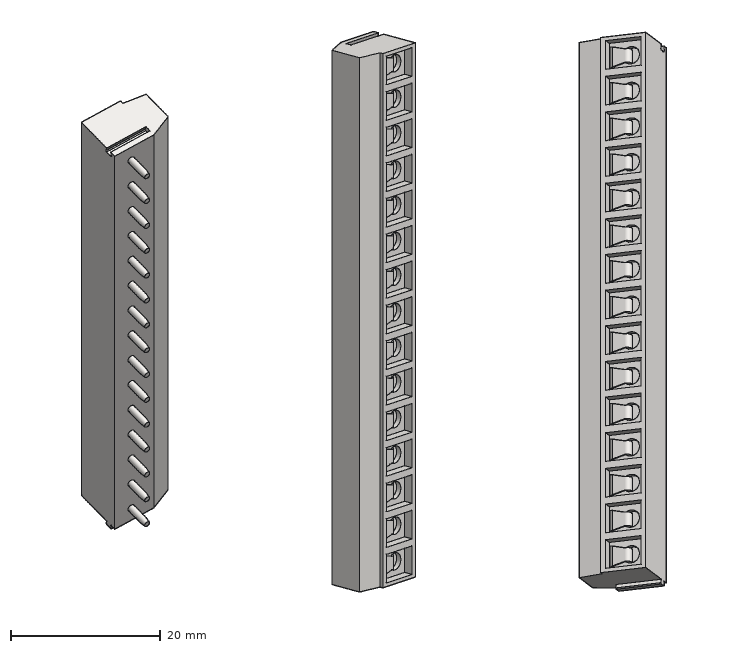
import cadquery as cq

POLE_COUNT = 15
POLE_PITCH = 5.0
BODY_WIDTH = 7.6
BODY_DEPTH = 10.0
TOTAL_HEIGHT = 75.7
RIB_HEIGHT = 0.7
BODY_HEIGHT = TOTAL_HEIGHT - RIB_HEIGHT

SHOULDER_Y = 6.5
SHOULDER_STEP = 0.5
ROOF_START_X = 1.05
ROOF_END_X = 6.05

COUPLING_X = 6.2
COUPLING_LENGTH = SHOULDER_Y
NECK_WIDTH = 0.9
FLARE_WIDTH = 1.3
TIP_WIDTH = 1.0
FLARE_HEIGHT = 0.5
GROOVE_CLEARANCE = 0.15

POCKET_START_Y = 0.7
POCKET_END_Y = 5.75
POCKET_HEIGHT = 4.0
POCKET_DEPTH = 1.4

PLATE_THICKNESS = 0.2
PLATE_END_Y = 5.7
PLATE_WIDE = 3.0
PLATE_NARROW = 1.9
PLATE_BEVEL = 0.45
BEND_START_Y = 3.4
BEND_RADIUS = 0.7
HOLE_RADIUS = 1.2
HOLE_CENTER_Y = 2.65
HOLE_DEPTH = 0.75

PIN_Y = 2.7
PIN_DIAMETER = 1.05
PIN_SHANK_LENGTH = 2.7
PIN_TIP_LENGTH = 0.9
PIN_TIP_DIAMETER = 0.8

FLOOR_X = POCKET_DEPTH
HOLE_FLOOR_X = FLOOR_X + HOLE_DEPTH


def make_body():
    """Housing profile in the XY plane, extruded along Z."""
    return (
        cq.Workplane("XY")
        .workplane(offset=RIB_HEIGHT)
        .polyline([
            (0, 0),
            (BODY_WIDTH, 0),
            (BODY_WIDTH, SHOULDER_Y),
            (ROOF_END_X, BODY_DEPTH),
            (ROOF_START_X, BODY_DEPTH),
            (SHOULDER_STEP, SHOULDER_Y),
            (0, SHOULDER_Y),
        ])
        .close()
        .extrude(BODY_HEIGHT)
    )


def make_dovetail(face_z, clearance=0):
    """Dovetail bar hanging below face_z, running from the Y = 0 side."""
    levels = [
        (NECK_WIDTH, 0),
        (FLARE_WIDTH, FLARE_HEIGHT + clearance),
        (TIP_WIDTH, RIB_HEIGHT + clearance),
    ]
    right_side = [(COUPLING_X + width / 2, face_z - depth) for width, depth in levels]
    left_side = [(COUPLING_X - width / 2, face_z - depth) for width, depth in reversed(levels)]
    return (
        cq.Workplane("XZ")
        .polyline(right_side + left_side)
        .close()
        .extrude(-COUPLING_LENGTH)
    )


def make_pocket():
    """Rectangular wire-entry pocket with a round hole in its floor, centred on Z = 0."""
    recess = cq.Workplane("XY").box(
        POCKET_DEPTH, POCKET_END_Y - POCKET_START_Y, POCKET_HEIGHT, centered=(False, False, True)
    ).translate((0, POCKET_START_Y, 0))
    hole = (
        cq.Workplane("YZ")
        .center(HOLE_CENTER_Y, 0)
        .circle(HOLE_RADIUS)
        .extrude(HOLE_FLOOR_X)
    )
    return recess.union(hole)


def make_clamp_plate():
    """Tapered plate, bevelled near the pocket wall and rounded over into the hole, centred on Z = 0."""
    top_x = FLOOR_X - PLATE_THICKNESS
    bend_end_y = BEND_START_Y - BEND_RADIUS
    side_profile = (
        cq.Workplane("XY")
        .moveTo(HOLE_FLOOR_X, PLATE_END_Y)
        .lineTo(FLOOR_X, PLATE_END_Y)
        .lineTo(top_x, PLATE_END_Y - PLATE_BEVEL)
        .lineTo(top_x, BEND_START_Y)
        .radiusArc((top_x + BEND_RADIUS, bend_end_y), -BEND_RADIUS)
        .lineTo(HOLE_FLOOR_X, bend_end_y)
        .close()
        .extrude(PLATE_WIDE / 2, both=True)
    )
    outline = (
        cq.Workplane("YZ")
        .polyline([
            (PLATE_END_Y, PLATE_WIDE / 2),
            (BEND_START_Y, PLATE_NARROW / 2),
            (bend_end_y, PLATE_NARROW / 2),
            (bend_end_y, -PLATE_NARROW / 2),
            (BEND_START_Y, -PLATE_NARROW / 2),
            (PLATE_END_Y, -PLATE_WIDE / 2),
        ])
        .close()
        .extrude(HOLE_FLOOR_X)
    )
    return side_profile.intersect(outline)


def make_pin():
    """Round pin with a tapered tip, standing out of the +X face at Z = 0."""
    return (
        cq.Workplane("XY")
        .moveTo(BODY_WIDTH, 0)
        .lineTo(BODY_WIDTH, -PIN_DIAMETER / 2)
        .lineTo(BODY_WIDTH + PIN_SHANK_LENGTH, -PIN_DIAMETER / 2)
        .lineTo(BODY_WIDTH + PIN_SHANK_LENGTH + PIN_TIP_LENGTH, -PIN_TIP_DIAMETER / 2)
        .lineTo(BODY_WIDTH + PIN_SHANK_LENGTH + PIN_TIP_LENGTH, 0)
        .close()
        .revolve(360, (0, 0, 0), (1, 0, 0))
        .translate((0, PIN_Y, 0))
    )


middle_z = RIB_HEIGHT + BODY_HEIGHT / 2
first_pole_z = middle_z - POLE_PITCH * (POLE_COUNT - 1) / 2

pocket = make_pocket().cut(make_clamp_plate())
pin = make_pin()

result = make_body()
result = result.union(make_dovetail(RIB_HEIGHT))
result = result.cut(make_dovetail(TOTAL_HEIGHT, GROOVE_CLEARANCE))
for pole in range(POLE_COUNT):
    pole_shift = (0, 0, first_pole_z + pole * POLE_PITCH)
    result = result.cut(pocket.translate(pole_shift))
    result = result.union(pin.translate(pole_shift))